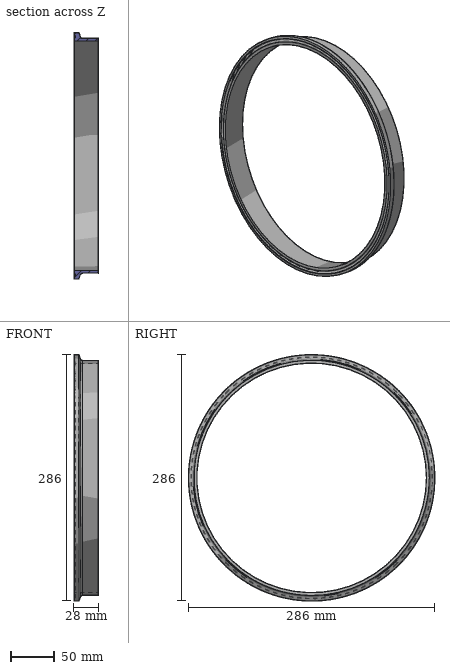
import cadquery as cq
import math

outer_radius = 143.0
length = 28.0
tube_radius = 136.5
bore_radius = 133.0
rim_width = 5.7
back_angle = 20.0
rim_fillet = 1.0
root_fillet = 2.0
groove_radius = 138.2
groove_width = 3.5
groove_depth = 1.5
groove_lip_fillet = 0.5

back_end = rim_width + (outer_radius - tube_radius) * math.tan(math.radians(back_angle))


def revolve_about_x(profile):
    """Turn a profile, drawn as (axial position, radius), a full turn about X."""
    return profile.revolve(360, (0, 0, 0), (1, 0, 0))


def circles_at(x, radius):
    """Select the circular edges centred on the axis at x with the given radius."""
    tolerance = 0.03
    return lambda edge: (
        abs(edge.Center().x - x) < tolerance and abs(edge.radius() - radius) < tolerance
    )


def round_circle(body, x, radius, fillet):
    """Fillet one circular edge of the turned body."""
    edges = body.edges("%CIRCLE").filter(circles_at(x, radius))
    return body.newObject(edges.vals()).fillet(fillet)


body = revolve_about_x(
    cq.Workplane("XY").polyline(
        [
            (0, bore_radius),
            (0, outer_radius),
            (rim_width, outer_radius),
            (back_end, tube_radius),
            (length, tube_radius),
            (length, bore_radius),
        ]
    ).close()
)

groove_inner = groove_radius - groove_width / 2
groove_outer = groove_radius + groove_width / 2
groove = revolve_about_x(
    cq.Workplane("XY")
    .moveTo(0, groove_inner)
    .threePointArc((groove_depth, groove_radius), (0, groove_outer))
    .close()
)
body = body.cut(groove)

body = round_circle(body, rim_width, outer_radius, rim_fillet)
body = round_circle(body, back_end, tube_radius, root_fillet)
for lip_radius in (groove_inner, groove_outer):
    body = round_circle(body, 0, lip_radius, groove_lip_fillet)

result = body